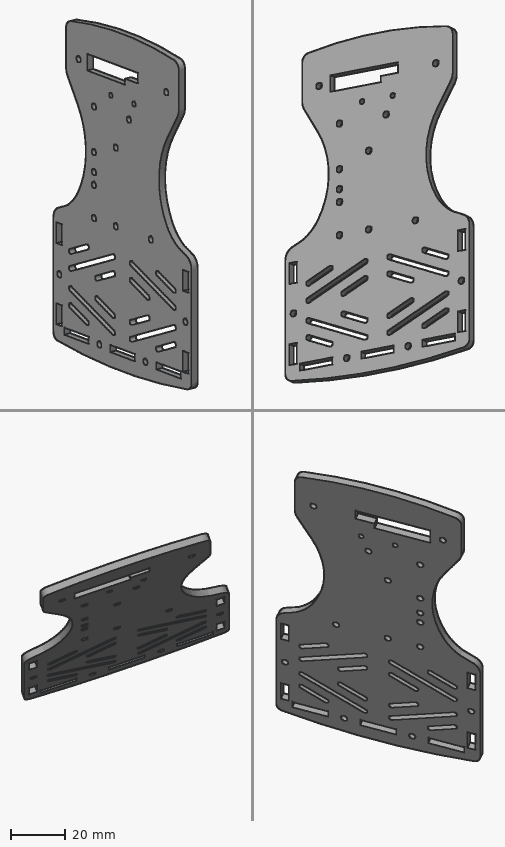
import cadquery as cq
import math

height = 130.7
width = 80.0
thickness = 3.0
half_width = width / 2

head_half_width = 32.7
top_radius = 171.3
top_corner_radius = 3.4
neck_corner_radius = 6.5

waist_half_width = 21.2
waist_z = 79.7
waist_radius = 33.3
waist_upper_angle = 31.5
waist_lower_angle = 30.0

shoulder_slope = 23.5
shoulder_start_x = 32.3
shoulder_start_z = 56.2
shoulder_radius = 5.0
bottom_radius = 277.1
bottom_corner_radius = 3.0

hole_diameter = 2.5
small_hole_diameter = 2.0
small_hole_x = 6.7
small_hole_z = 105.2
head_hole_x = 25.4
head_hole_z = 114.5
left_row_x = -16.5
middle_row_x = -3.8
board_top_z = 98.5
board_bottom_z = 55.3
board_upper_right_x = 3.8
board_lower_right_x = 16.5
middle_hole_z = 85.8
left_row_z = [80.8, 73.1, 68.1]
side_hole_x = 36.5
base_hole_x = 13.3
slot_field_z = 28.5

window_left = -20.4
window_right = 8.9
window_top = 117.8
window_bottom = 111.4
step_x = 1.5
step_z = 113.7

side_tab_x = 36.6
side_tab_width = 3.1
side_tab_height = 8.1
side_tab_z = [12.8, 44.2]
base_tab_length = 14.1
base_tab_height = 2.7
base_tab_z = 7.2
base_tab_spacing = 26.7

slot_width = 2.0
slot_angle = shoulder_slope
slot_inner_x = 5.2
slot_outer_x = 30.0
slot_short_run = 9.5
slot_rise = 14.6
slot_pitch = 6.5


def sagitta(radius, half_chord):
    """Height of an arc above the chord joining its ends."""
    return radius - math.sqrt(radius**2 - half_chord**2)


def mirrored(point):
    return (-point[0], point[1])


waist_center_x = waist_half_width + waist_radius


def waist_point(angle):
    """Point on the right waist arc, at an angle above its narrowest point."""
    a = math.radians(angle)
    return (waist_center_x - waist_radius * math.cos(a), waist_z + waist_radius * math.sin(a))


top_corner = (head_half_width, height - sagitta(top_radius, head_half_width))
waist_start = waist_point(waist_upper_angle)
waist_end = waist_point(-waist_lower_angle)
neck_run = head_half_width - waist_start[0]
neck_corner = (head_half_width, waist_start[1] + neck_run / math.tan(math.radians(waist_upper_angle)))
shoulder_start = (shoulder_start_x, shoulder_start_z)
shoulder_drop = (half_width - shoulder_start_x) * math.tan(math.radians(shoulder_slope))
shoulder_corner = (half_width, shoulder_start_z - shoulder_drop)
bottom_corner = (half_width, sagitta(bottom_radius, half_width))


def lower_waist_middle():
    """Middle of the arc that leaves the waist tangentially and ends at the shoulder."""
    chord_x = shoulder_start[0] - waist_end[0]
    chord_z = shoulder_start[1] - waist_end[1]
    chord_angle = math.atan2(chord_z, chord_x)
    start_angle = math.radians(waist_lower_angle - 90)
    turn = chord_angle - start_angle
    bulge = math.hypot(chord_x, chord_z) / 2 * math.tan(turn / 2)
    return (
        (waist_end[0] + shoulder_start[0]) / 2 + bulge * math.sin(chord_angle),
        (waist_end[1] + shoulder_start[1]) / 2 - bulge * math.cos(chord_angle),
    )


def make_plate():
    flare_middle = lower_waist_middle()
    waist_middle = (waist_half_width, waist_z)
    plate = (
        cq.Workplane("XZ")
        .moveTo(*mirrored(top_corner))
        .threePointArc((0, height), top_corner)
        .lineTo(*neck_corner)
        .lineTo(*waist_start)
        .threePointArc(waist_middle, waist_end)
        .threePointArc(flare_middle, shoulder_start)
        .lineTo(*shoulder_corner)
        .lineTo(*bottom_corner)
        .threePointArc((0, 0), mirrored(bottom_corner))
        .lineTo(*mirrored(shoulder_corner))
        .lineTo(*mirrored(shoulder_start))
        .threePointArc(mirrored(flare_middle), mirrored(waist_end))
        .threePointArc(mirrored(waist_middle), mirrored(waist_start))
        .lineTo(*mirrored(neck_corner))
        .close()
        .extrude(thickness / 2, both=True)
    )
    corner_radii = [
        (top_corner, top_corner_radius),
        (neck_corner, neck_corner_radius),
        (shoulder_corner, shoulder_radius),
        (bottom_corner, bottom_corner_radius),
    ]
    for corner, radius in corner_radii:
        for x, z in (corner, mirrored(corner)):
            edge = cq.selectors.NearestToPointSelector((x, 0, z))
            plate = plate.edges("|Y").edges(edge).fillet(radius)
    return plate


def cutter(outlines):
    """Turn closed outlines in the XZ plane into a tool passing through the plate."""
    return outlines.extrude(thickness, both=True)


def round_holes(points, diameter):
    return cutter(cq.Workplane("XZ").pushPoints(points).circle(diameter / 2))


def rectangles(points, size_x, size_z):
    return cutter(cq.Workplane("XZ").pushPoints(points).rect(size_x, size_z))


def stepped_window():
    outline = [
        (window_left, window_top),
        (window_right, window_top),
        (window_right, step_z),
        (step_x, step_z),
        (step_x, window_bottom),
        (window_left, window_bottom),
    ]
    return cutter(cq.Workplane("XZ").polyline(outline).close())


def slanted_slot(inner_x, outer_x, inner_z, side, level):
    """Round-ended slot; side and level are +1 or -1 and choose the quadrant."""
    slope = math.radians(slot_angle)
    run = outer_x - inner_x
    middle_x = side * (inner_x + outer_x) / 2
    middle_z = slot_field_z + level * (inner_z - run / 2 * math.tan(slope))
    length = run / math.cos(slope) + slot_width
    tilt = -side * level * slot_angle
    return cutter(cq.Workplane("XZ").center(middle_x, middle_z).slot2D(length, slot_width, tilt))


result = make_plate()

regular_holes = [
    (left_row_x, board_top_z),
    (board_upper_right_x, board_top_z),
    (middle_row_x, middle_hole_z),
    (left_row_x, board_bottom_z),
    (middle_row_x, board_bottom_z),
    (board_lower_right_x, board_bottom_z),
]
regular_holes += [(left_row_x, z) for z in left_row_z]
for side in (-1, 1):
    regular_holes.append((side * head_hole_x, head_hole_z))
    regular_holes.append((side * side_hole_x, slot_field_z))
    regular_holes.append((side * base_hole_x, base_tab_z))
result = result.cut(round_holes(regular_holes, hole_diameter))

small_holes = [(-small_hole_x, small_hole_z), (small_hole_x, small_hole_z)]
result = result.cut(round_holes(small_holes, small_hole_diameter))

result = result.cut(stepped_window())

side_tabs = [(side * side_tab_x, z) for side in (-1, 1) for z in side_tab_z]
result = result.cut(rectangles(side_tabs, side_tab_width, side_tab_height))

base_tabs = [(i * base_tab_spacing, base_tab_z) for i in (-1, 0, 1)]
result = result.cut(rectangles(base_tabs, base_tab_length, base_tab_height))

short_inner_end = slot_inner_x + slot_short_run
inner_slot_rise = slot_rise - slot_pitch
short_outer_start = slot_outer_x - slot_short_run
for side in (-1, 1):
    for level in (-1, 1):
        result = result.cut(slanted_slot(short_outer_start, slot_outer_x, slot_rise, side, level))
        result = result.cut(slanted_slot(slot_inner_x, slot_outer_x, slot_rise, side, level))
        result = result.cut(slanted_slot(slot_inner_x, short_inner_end, inner_slot_rise, side, level))